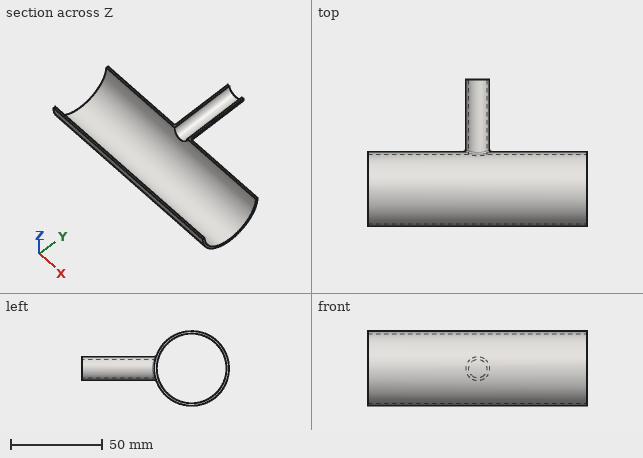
import cadquery as cq

run_length = 120.0
run_outer_diameter = 41.0
run_bore_diameter = 38.0

branch_reach = 60.0
branch_outer_diameter = 13.0
branch_bore_diameter = 10.0

weld_radius = 1.0


def run_cylinder(diameter):
    """Cylinder along X over the full length of the run."""
    return cq.Workplane("YZ").circle(diameter / 2).extrude(run_length / 2, both=True)


def branch_cylinder(diameter):
    """Cylinder along +Y from the run axis to the end of the branch."""
    return cq.Workplane("XZ").circle(diameter / 2).extrude(-branch_reach)


def foot_edges():
    """Box selector around the saddle curve where the branch meets the run."""
    run_radius = run_outer_diameter / 2
    branch_radius = branch_outer_diameter / 2
    return cq.selectors.BoxSelector(
        (-branch_radius, run_radius - branch_radius, -branch_radius),
        (branch_radius, run_radius + branch_radius, branch_radius),
    )


def tee_body():
    """Solid tee with the weld fillet, before boring."""
    tee = run_cylinder(run_outer_diameter).union(branch_cylinder(branch_outer_diameter))
    return tee.edges(foot_edges()).fillet(weld_radius)


result = tee_body().cut(run_cylinder(run_bore_diameter)).cut(branch_cylinder(branch_bore_diameter))